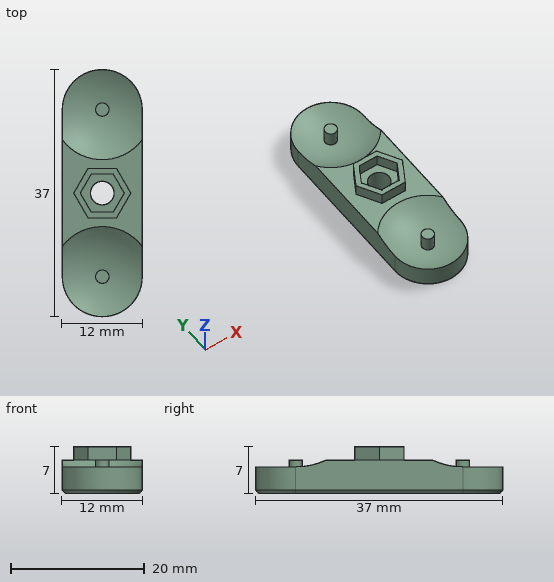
import cadquery as cq
import math

width = 12.0
length = 37.0
plate_height = 5.0
bottom_chamfer = 0.5
end_radius = width / 2
end_offset = (length - width) / 2

rim_height = 4.0
dish_radius = 7.5
rim_drop = plate_height - rim_height
sphere_above_top = (dish_radius**2 - end_radius**2 - rim_drop**2) / (2 * rim_drop)
sphere_radius = math.hypot(dish_radius, sphere_above_top)
sphere_height = plate_height + sphere_above_top

pin_diameter = 2.0
pin_top = plate_height

holder_top = 7.0
holder_flats = 7.4
nut_flats = 5.7
bolt_diameter = 3.5


def hexagon(across_flats):
    """Hexagonal prism on top of the plate, with two corners over the X axis."""
    across_corners = across_flats / math.cos(math.radians(30))
    top_plane = cq.Workplane("XY").workplane(offset=plate_height)
    return top_plane.polygon(6, across_corners).extrude(holder_top - plate_height)


def base_plate():
    plate = cq.Workplane("XY").slot2D(length, width, 90).extrude(plate_height)
    return plate.faces("<Z").edges().chamfer(bottom_chamfer)


def dish(y):
    """Sphere that hollows the plate around the given end centre."""
    return cq.Workplane("XY").sphere(sphere_radius).translate((0, y, sphere_height))


def pin(y):
    """Pin rooted in the plate at the given end centre."""
    return cq.Workplane("XY").center(0, y).circle(pin_diameter / 2).extrude(pin_top)


def bolt_hole():
    return cq.Workplane("XY").circle(bolt_diameter / 2).extrude(plate_height)


result = base_plate()
for end_y in (-end_offset, end_offset):
    result = result.cut(dish(end_y))
    result = result.union(pin(end_y))

nut_holder = hexagon(holder_flats).cut(hexagon(nut_flats))
result = result.union(nut_holder).cut(bolt_hole()).clean()